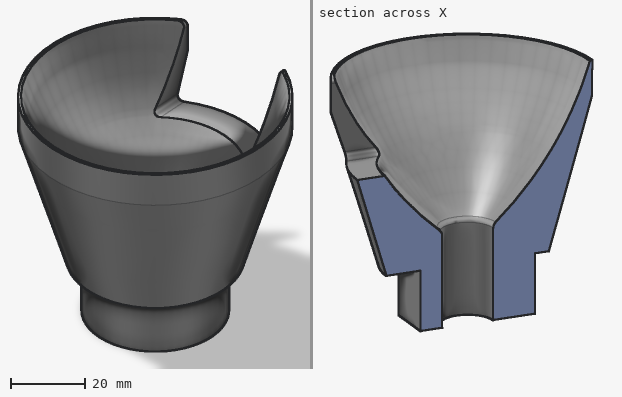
import cadquery as cq

total_height = 70.0
rim_height = 10.0
stem_height = 17.25

rim_radius = 37.0
cone_base_radius = 24.1

stem_radius = 20.0
stem_flat_y = 14.0

lip_thickness = 0.8
funnel_mid_radius = 26.0
funnel_mid_z = 48.2
funnel_throat_z = 27.4
hole_diameter = 15.0
throat_fillet = 2.0

notch_width = 33.9
notch_floor_z = 46.0
notch_fillet = 2.0


def make_body():
    """Cup with a tapered wall and a cylindrical rim, standing on the flatted stem."""
    rim_bottom_z = total_height - rim_height
    cup = (
        cq.Workplane("XZ")
        .moveTo(0, stem_height)
        .lineTo(cone_base_radius, stem_height)
        .lineTo(rim_radius, rim_bottom_z)
        .lineTo(rim_radius, total_height)
        .lineTo(0, total_height)
        .close()
        .revolve(360, (0, 0, 0), (0, 1, 0))
    )
    stem_depth = stem_radius + stem_flat_y
    flat_limit = (
        cq.Workplane("XY")
        .center(0, stem_flat_y - stem_depth / 2)
        .rect(2 * stem_radius, stem_depth)
        .extrude(stem_height)
    )
    stem = cq.Workplane("XY").circle(stem_radius).extrude(stem_height).intersect(flat_limit)
    return cup.union(stem)


def make_bore():
    """Funnel narrowing along an arc to the through hole."""
    hole_radius = hole_diameter / 2
    bore = (
        cq.Workplane("XZ")
        .lineTo(hole_radius, 0)
        .lineTo(hole_radius, funnel_throat_z)
        .threePointArc(
            (funnel_mid_radius, funnel_mid_z),
            (rim_radius - lip_thickness, total_height),
        )
        .lineTo(0, total_height)
        .close()
        .revolve(360, (0, 0, 0), (0, 1, 0))
    )
    throat_edge = cq.selectors.BoxSelector(
        (-rim_radius, -rim_radius, funnel_throat_z - 0.75),
        (rim_radius, rim_radius, funnel_throat_z + 0.75),
        boundingbox=True,
    )
    return bore.edges(throat_edge).fillet(throat_fillet)


def make_notch():
    """Slot with rounded floor corners and rounded shoulders at the rim."""
    half_width = notch_width / 2
    shoulder_z = total_height - notch_fillet
    shoulder_x = half_width + notch_fillet
    slot = (
        cq.Workplane("XZ")
        .center(0, (notch_floor_z + total_height) / 2)
        .rect(notch_width, total_height - notch_floor_z)
        .extrude(-rim_radius)
        .edges("|Y and <Z")
        .fillet(notch_fillet)
    )
    for side in (-1, 1):
        shoulder = (
            cq.Workplane("XZ")
            .moveTo(side * half_width, shoulder_z)
            .lineTo(side * half_width, total_height)
            .lineTo(side * shoulder_x, total_height)
            .radiusArc((side * half_width, shoulder_z), -side * notch_fillet)
            .close()
            .extrude(-rim_radius)
        )
        slot = slot.union(shoulder)
    return slot


result = make_body().cut(make_bore()).cut(make_notch())